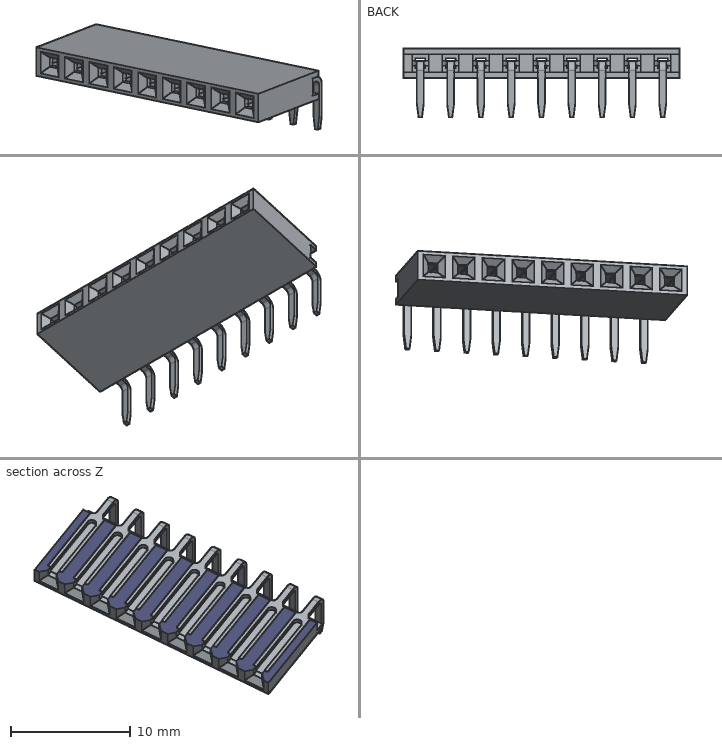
import cadquery as cq


housing_length = 23.15
housing_depth = 8.5
housing_height = 2.5
rear_wall = 0.49
notch_depth = 0.79
notch_height = housing_height - 2 * rear_wall
notch_floor_y = housing_depth - notch_depth

socket_count = 9
end_margin = 1.41
pitch = (housing_length - 2 * end_margin) / (socket_count - 1)
socket_x = [(i - (socket_count - 1) / 2) * pitch for i in range(socket_count)]
funnel_width = 1.9
throat_width = 0.8
funnel_depth = (funnel_width - throat_width) / 2
throat_length = 0.46
cavity_start_y = funnel_depth + throat_length

sheet = 0.4
leg_width = 0.6
slot_width = 0.79
fork_width = 1.4
flare_length = 0.49
flare_height = (fork_width - leg_width) / 2
flare_radius = (flare_length ** 2 + flare_height ** 2) / (2 * flare_height)
web = 0.5
slot_bottom_y = notch_floor_y - web
leg_overhang = 2.0
leg_drop = 3.3
bend_radius = 0.79
tip_width = 0.3
tip_length = 1.15
leg_rear_y = housing_depth + leg_overhang
leg_front_y = leg_rear_y - sheet
bend_start_y = leg_rear_y - bend_radius
bend_end_z = sheet / 2 - bend_radius
tip_z = -housing_height / 2 - leg_drop


def box(width, start_y, end_y, height):
    """Block centred on X = 0 and Z = 0 that runs from start_y to end_y."""
    length = end_y - start_y
    return cq.Workplane("XY").box(width, length, height).translate((0, start_y + length / 2, 0))


def make_socket():
    """Space of one socket: square funnel, narrow throat and wide contact cavity."""
    funnel = (
        cq.Workplane("XZ")
        .rect(funnel_width, funnel_width)
        .workplane(offset=-funnel_depth)
        .rect(throat_width, throat_width)
        .loft(ruled=True)
    )
    throat = box(throat_width, funnel_depth, cavity_start_y, throat_width)
    cavity = box(fork_width, cavity_start_y, notch_floor_y, notch_height)
    return funnel.union(throat).union(cavity)


def make_housing():
    """Rectangular block with a notch along its rear and a row of sockets."""
    body = box(housing_length, 0, housing_depth, housing_height)
    body = body.cut(box(housing_length, notch_floor_y, housing_depth, notch_height))
    socket = make_socket()
    for x in socket_x:
        body = body.cut(socket.translate((x, 0, 0)))
    return body


def make_fork():
    """Flat two-tine fork that narrows through concave flares into the stem."""
    half_fork = fork_width / 2
    half_slot = slot_width / 2
    half_leg = leg_width / 2
    stem_start_y = notch_floor_y + flare_length
    tine_root_y = slot_bottom_y - half_slot
    return (
        cq.Workplane("XY")
        .workplane(offset=-sheet / 2)
        .moveTo(-half_fork, cavity_start_y)
        .lineTo(-half_fork, notch_floor_y)
        .radiusArc((-half_leg, stem_start_y), -flare_radius)
        .lineTo(-half_leg, bend_start_y)
        .lineTo(half_leg, bend_start_y)
        .lineTo(half_leg, stem_start_y)
        .radiusArc((half_fork, notch_floor_y), -flare_radius)
        .lineTo(half_fork, cavity_start_y)
        .lineTo(half_slot, cavity_start_y)
        .lineTo(half_slot, tine_root_y)
        .threePointArc((0, slot_bottom_y), (-half_slot, tine_root_y))
        .lineTo(-half_slot, cavity_start_y)
        .close()
        .extrude(sheet)
    )


def make_bend():
    """Quarter turn from the horizontal stem down into the leg."""
    return (
        cq.Workplane("YZ")
        .moveTo(bend_start_y, sheet / 2)
        .radiusArc((leg_rear_y, bend_end_z), bend_radius)
        .lineTo(leg_front_y, bend_end_z)
        .radiusArc((bend_start_y, -sheet / 2), sheet - bend_radius)
        .close()
        .extrude(leg_width / 2, both=True)
    )


def make_leg():
    """Straight solder leg with a tapered tip."""
    taper_z = tip_z + tip_length
    outline = [
        (-leg_width / 2, bend_end_z),
        (leg_width / 2, bend_end_z),
        (leg_width / 2, taper_z),
        (tip_width / 2, tip_z),
        (-tip_width / 2, tip_z),
        (-leg_width / 2, taper_z),
    ]
    return cq.Workplane("XZ", origin=(0, leg_rear_y, 0)).polyline(outline).close().extrude(sheet)


def make_contact(x):
    """One bent contact, centred on the socket at x."""
    return make_fork().union(make_bend()).union(make_leg()).translate((x, 0, 0))


housing = make_housing()
contacts = [make_contact(x) for x in socket_x]

result = cq.Compound.makeCompound(
    [housing.solids().val(), *[contact.solids().val() for contact in contacts]]
)